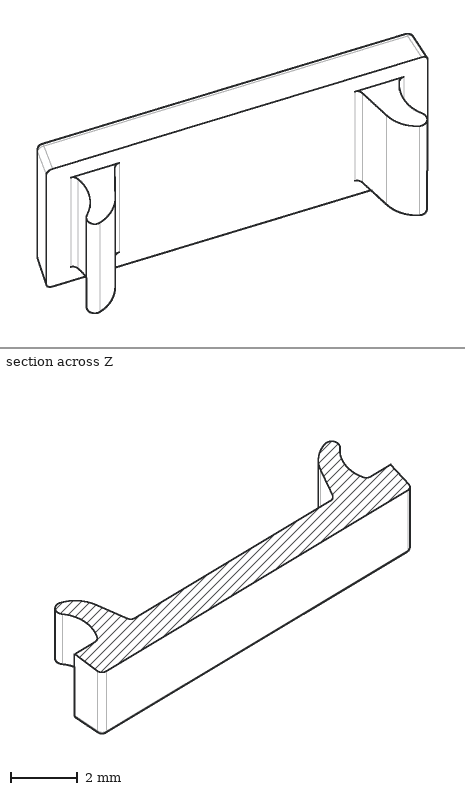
import math

import cadquery as cq

PLATE_LENGTH = 12.2
PLATE_HEIGHT = 5.8
PLATE_THICKNESS = 1.15
PLATE_DRAFT = 5.0
EDGE_RADIUS = 0.2

HOOK_WIDTH = 4.4
HOOK_FOOT_Y = 3.91
HOOK_LEAN = 20.0
TIP_X = 1.655
TIP_Y = 5.18
TIP_RADIUS = 0.25
OUTER_RADIUS = 1.2
INNER_RADIUS = 1.225
INNER_CENTRE_X = 0.64
FOOT_RADIUS = 0.2
EMBED = 0.3

PLATE_TILT = 20.0
BACK_CENTRE_X = -0.247
BACK_CENTRE_Y = -0.129


def on_circle(centre, radius, angle):
    """Point on a circle at an angle in radians."""
    return (centre[0] + radius * math.cos(angle), centre[1] + radius * math.sin(angle))


def direction(start, end):
    """Angle in radians of the line from start to end."""
    return math.atan2(end[1] - start[1], end[0] - start[0])


def make_plate():
    """Drafted plate, largest at the back, rounded everywhere except around the back face."""
    plate = (
        cq.Workplane("YZ")
        .rect(PLATE_LENGTH, PLATE_HEIGHT)
        .extrude(-PLATE_THICKNESS, taper=PLATE_DRAFT)
    )
    return plate.edges("not >X").fillet(EDGE_RADIUS)


TIP = (TIP_X, TIP_Y)
INNER_CENTRE = (
    INNER_CENTRE_X,
    TIP_Y + math.sqrt((INNER_RADIUS + TIP_RADIUS) ** 2 - (TIP_X - INNER_CENTRE_X) ** 2),
)
INNER_FOOT_Y = INNER_CENTRE[1] - math.sqrt(INNER_RADIUS**2 - INNER_CENTRE_X**2)


def outer_arc_centre():
    """Centre of the convex arc, tangent to the straight flank and to the round tip."""
    lean = math.radians(HOOK_LEAN)
    along = TIP_X * math.cos(lean) + (TIP_Y - HOOK_FOOT_Y) * math.sin(lean)
    above = (TIP_Y - HOOK_FOOT_Y) * math.cos(lean) - TIP_X * math.sin(lean)
    reach = along - math.sqrt((OUTER_RADIUS - TIP_RADIUS) ** 2 - (OUTER_RADIUS - above) ** 2)
    return (
        reach * math.cos(lean) - OUTER_RADIUS * math.sin(lean),
        HOOK_FOOT_Y + reach * math.sin(lean) + OUTER_RADIUS * math.cos(lean),
    )


def make_hook():
    """Hook on the +Y half of the plate, with its root sunk into the plate."""
    outer_centre = outer_arc_centre()
    flank_angle = math.radians(HOOK_LEAN - 90)
    tip_start_angle = direction(outer_centre, TIP)
    tip_end_angle = direction(TIP, INNER_CENTRE)
    inner_start_angle = tip_end_angle - math.pi
    inner_end_angle = direction(INNER_CENTRE, (0, INNER_FOOT_Y))

    def arc_middle(centre, radius, start, end):
        return on_circle(centre, radius, (start + end) / 2)

    return (
        cq.Workplane("XY")
        .moveTo(-EMBED, HOOK_FOOT_Y)
        .lineTo(0, HOOK_FOOT_Y)
        .lineTo(*on_circle(outer_centre, OUTER_RADIUS, flank_angle))
        .threePointArc(
            arc_middle(outer_centre, OUTER_RADIUS, flank_angle, tip_start_angle),
            on_circle(TIP, TIP_RADIUS, tip_start_angle),
        )
        .threePointArc(
            arc_middle(TIP, TIP_RADIUS, tip_start_angle, tip_end_angle),
            on_circle(TIP, TIP_RADIUS, tip_end_angle),
        )
        .threePointArc(
            arc_middle(INNER_CENTRE, INNER_RADIUS, inner_start_angle, inner_end_angle),
            (0, INNER_FOOT_Y),
        )
        .lineTo(-EMBED, INNER_FOOT_Y)
        .close()
        .extrude(HOOK_WIDTH / 2, both=True)
    )


def round_feet(body):
    """Fillet the four upright corners where the hook flanks meet the back face."""
    for side in (1, -1):
        for foot_y in (HOOK_FOOT_Y, INNER_FOOT_Y):
            corner = cq.selectors.NearestToPointSelector((0, side * foot_y, 0))
            body = body.edges("|Z").edges(corner).fillet(FOOT_RADIUS)
    return body


hook = make_hook()
mirrored_hook = hook.mirror("XZ")
body = round_feet(make_plate().union(hook).union(mirrored_hook))

result = body.rotate((0, 0, 0), (0, 0, 1), -PLATE_TILT).translate((BACK_CENTRE_X, BACK_CENTRE_Y, 0))